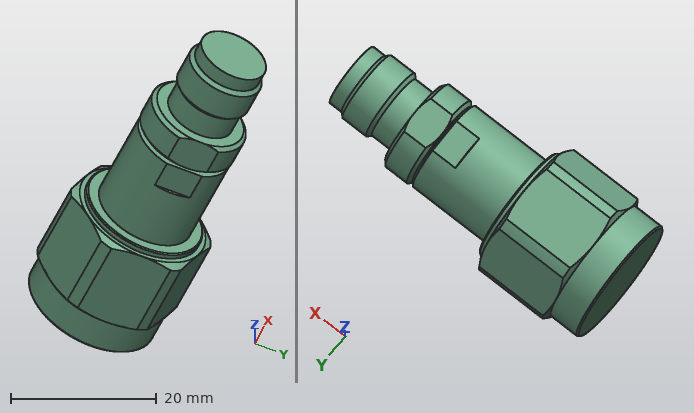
import cadquery as cq
import math

COLLAR_END = 4.75
HEX_END = 17.0
FLANGE_END = 17.85
BODY_END = 30.8
NUT_START = 31.2
NUT_END = 36.0
BAND_START = 39.6
BAND_END = 44.9
OVERALL_LENGTH = 47.0

COLLAR_DIA = 19.0
HEX_CORNER_DIA = 21.0
FLANGE_DIA = 17.5
BODY_DIA = 14.0
NECK_DIA = 9.95
NUT_DIA = 14.25
TAIL_DIA = 9.78
BAND_DIA = 10.9

HEX_ACROSS_FLATS = 19.05
WRENCH_ACROSS_FLATS = 12.95
BODY_FLAT_START = 26.8

COLLAR_CHAMFER = 0.25
HEX_CHAMFER_LENGTH = 0.55
HEX_END_DIA = 19.0
FLANGE_CHAMFER = 0.2
NUT_CHAMFER_LENGTH = 0.5
NUT_END_DIA = 13.05
BAND_CHAMFER = 0.55


def cylinder(start, end, diameter):
    """Round section along X."""
    return cq.Workplane("YZ", origin=(start, 0, 0)).circle(diameter / 2).extrude(end - start)


def coned_cylinder(start, end, diameter, end_diameter, cone_length):
    """Round section along X that narrows to end_diameter at both ends."""
    profile = [
        (start, 0),
        (start, end_diameter / 2),
        (start + cone_length, diameter / 2),
        (end - cone_length, diameter / 2),
        (end, end_diameter / 2),
        (end, 0),
    ]
    return cq.Workplane("XY").polyline(profile).close().revolve(360, (0, 0, 0), (1, 0, 0))


def between_flats(start, end):
    """Slab that trims a round section to two flats, facing +Z and -Z."""
    slab = cq.Workplane("XY").box(end - start, HEX_CORNER_DIA, WRENCH_ACROSS_FLATS)
    return slab.translate(((start + end) / 2, 0, 0))


def coupling_nut():
    """Hexagon with flats facing +Z and -Z, its corners rounded and coned at both ends."""
    sharp_corner_dia = HEX_ACROSS_FLATS / math.cos(math.radians(30))
    hexagon = (
        cq.Workplane("YZ", origin=(COLLAR_END, 0, 0))
        .polygon(6, sharp_corner_dia)
        .extrude(HEX_END - COLLAR_END)
    )
    envelope = coned_cylinder(COLLAR_END, HEX_END, HEX_CORNER_DIA, HEX_END_DIA, HEX_CHAMFER_LENGTH)
    return hexagon.intersect(envelope)


def body():
    """Round barrel with a pair of wrench flats at its rear end."""
    front = cylinder(FLANGE_END, BODY_FLAT_START, BODY_DIA)
    rear = cylinder(BODY_FLAT_START, BODY_END, BODY_DIA)
    return front.union(rear.intersect(between_flats(BODY_FLAT_START, BODY_END)))


def rear_nut():
    """Round nut with coned ends and two wrench flats."""
    blank = coned_cylinder(NUT_START, NUT_END, NUT_DIA, NUT_END_DIA, NUT_CHAMFER_LENGTH)
    return blank.intersect(between_flats(NUT_START, NUT_END))


collar = cylinder(0, COLLAR_END, COLLAR_DIA).faces("<X").chamfer(COLLAR_CHAMFER)
flange = cylinder(HEX_END, FLANGE_END, FLANGE_DIA).faces(">X").chamfer(FLANGE_CHAMFER)
neck = cylinder(BODY_END, NUT_START, NECK_DIA)
tail = cylinder(NUT_END, OVERALL_LENGTH, TAIL_DIA)
band = coned_cylinder(BAND_START, BAND_END, BAND_DIA, TAIL_DIA, BAND_CHAMFER)

result = collar
for section in (coupling_nut(), flange, body(), neck, rear_nut(), tail, band):
    result = result.union(section)